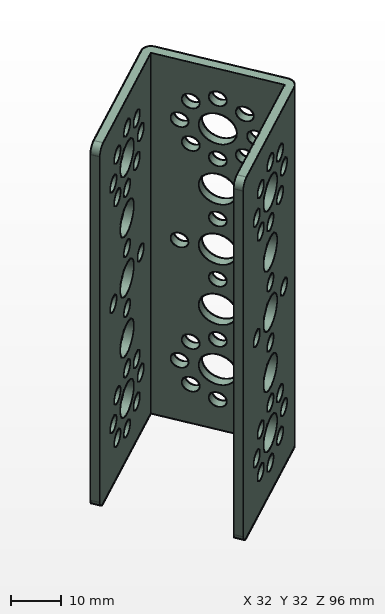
import cadquery as cq
import math

length = 96.0
width = length / 3
thickness = 2.0
bend_radius = 2.0
corner_radius = 2.0

pitch = width / 4
big_diameter = 8.0
small_diameter = 3.7
ring_count = 8
big_heights = [step * pitch for step in (-4, -2, 0, 2, 4)]
ring_heights = [-4 * pitch, 4 * pitch]


def channel():
    """U-channel along Z, open towards -Y, with rounded outer bends and free corners."""
    body = cq.Workplane("XY").box(width, width, length)
    body = body.edges("|Z and >Y").fillet(bend_radius)
    body = body.edges("|X and <Y").fillet(corner_radius)
    cavity = cq.Workplane("XY").box(width - 2 * thickness, width, length)
    return body.cut(cavity.translate((0, -thickness, 0)))


def ring_points(height, count):
    """Points evenly spaced on a circle of one pitch radius around (0, height)."""
    angles = [2 * math.pi * i / count for i in range(count)]
    return [(pitch * math.cos(a), height + pitch * math.sin(a)) for a in angles]


def hole_cutters(plane, depth):
    """Cylinders of the hole pattern, extruded from the plane to both sides."""
    big_points = [(0, height) for height in big_heights]
    small_points = ring_points(0, ring_count // 2)
    for height in ring_heights:
        small_points += ring_points(height, ring_count)
    big = cq.Workplane(plane).pushPoints(big_points).circle(big_diameter / 2)
    small = cq.Workplane(plane).pushPoints(small_points).circle(small_diameter / 2)
    return big.extrude(depth, both=True).union(small.extrude(depth, both=True))


result = channel()
for plane in ("XZ", "YZ"):
    result = result.cut(hole_cutters(plane, width))